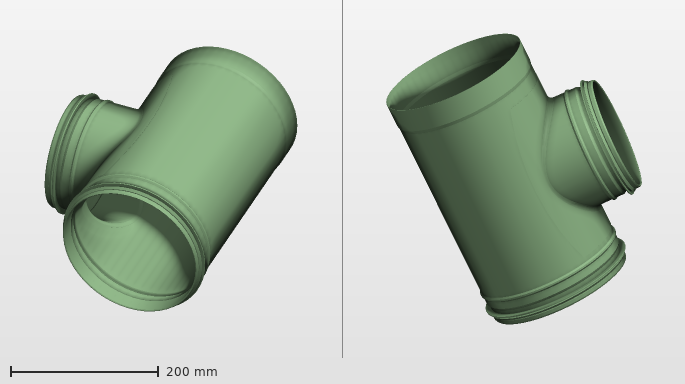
import cadquery as cq


WALL = 0.5

MAIN_RADIUS = 199.0 / 2
MAIN_NECK_RADIUS = 194.0 / 2
MAIN_SEAT_RADIUS = 195.5 / 2
SPIGOT_END_Y = -167.0
SOCKET_END_Y = 173.5
SOCKET_RADIUS = 201.2 / 2
SOCKET_DEPTH = 33.0
SOCKET_TAPER = 4.8

OPENING_HALF_LENGTH = 92.0
OPENING_HALF_HEIGHT = 80.7

BRANCH_RADIUS = 159.0 / 2
BRANCH_NECK_RADIUS = 154.2 / 2
BRANCH_SEAT_RADIUS = 155.3 / 2
BRANCH_LENGTH = 163.8
SADDLE_RADIUS = MAIN_RADIUS + WALL
SADDLE_HALF_LENGTH = 117.5
SADDLE_CORNER_X = -59.0
SADDLE_MIDDLE_X = -41.2
SADDLE_FILLET = 6.8
SELECTION_MARGIN = 3.5

END_BEVEL_LENGTH = 2.0
END_BEVEL_DEPTH = 1.0
BORE_BEVEL = 1.0
RIM_END = 6.5
SEAT_START = 8.0
SEAT_END = 15.5
NECK_END = 21.5
STEP_END = 25.2
BEAD_START = 35.8
BEAD_TOP_START = 38.0
BEAD_TOP_END = 40.5
BEAD_END = 43.0
BEAD_HEIGHT = 2.0

SLANTED_LIP_TIP = 11.0
SLANTED_LIP_BACK = 11.5
UPRIGHT_LIP_START = 14.3
MAIN_SLANTED_LIP_RADIUS = 204.3 / 2
MAIN_UPRIGHT_LIP_RADIUS = 209.5 / 2
BRANCH_SLANTED_LIP_RADIUS = 164.5 / 2
BRANCH_UPRIGHT_LIP_RADIUS = 169.5 / 2


def revolve_along_y(points):
    """Turn a closed (radius, distance) outline around the Y axis."""
    return cq.Workplane("XY").polyline(points).close().revolve(360, (0, 0, 0), (0, 1, 0))


def spigot_tube(radius, seat_radius, neck_radius, outer_points_beyond):
    """Thin tube from its open end at Y = 0: solid rolled rim, seal seat, neck, bead and what follows."""
    bore_radius = neck_radius - WALL
    rim = [
        (bore_radius, BORE_BEVEL),
        (bore_radius + BORE_BEVEL, 0),
        (radius - END_BEVEL_DEPTH, 0),
        (radius, END_BEVEL_LENGTH),
        (radius, RIM_END),
        (seat_radius, SEAT_START),
        (seat_radius, SEAT_END),
        (neck_radius, SEAT_END),
    ]
    sheet = [
        (neck_radius, NECK_END),
        (radius, STEP_END),
        (radius, BEAD_START),
        (radius + BEAD_HEIGHT, BEAD_TOP_START),
        (radius + BEAD_HEIGHT, BEAD_TOP_END),
        (radius, BEAD_END),
    ] + outer_points_beyond
    sheet_inside = [(outer_radius - WALL, distance) for outer_radius, distance in reversed(sheet)]
    return revolve_along_y(rim + sheet + sheet_inside)


def place_on_main(body):
    """Move a body from the Y = 0 end to the spigot end of the main pipe."""
    return body.translate((0, SPIGOT_END_Y, 0))


def place_on_branch(body):
    """Turn a body to run along +X from the open end of the branch."""
    return body.rotate((0, 0, 0), (0, 0, 1), -90).translate((-BRANCH_LENGTH, 0, 0))


def x_cylinder(radius, length):
    """Solid cylinder from the origin along -X."""
    return cq.Workplane("YZ").circle(radius).extrude(-length)


def y_cylinder(radius):
    """Solid cylinder around the main axis, as long as the main pipe."""
    spigot_end = cq.Workplane("XZ", origin=(0, SPIGOT_END_Y, 0))
    return spigot_end.circle(radius).extrude(SPIGOT_END_Y - SOCKET_END_Y)


def make_main_pipe():
    length = SOCKET_END_Y - SPIGOT_END_Y
    socket_start = length - SOCKET_DEPTH
    socket_points = [
        (MAIN_RADIUS, socket_start - SOCKET_TAPER),
        (SOCKET_RADIUS, socket_start),
        (SOCKET_RADIUS, length),
    ]
    tube = spigot_tube(MAIN_RADIUS, MAIN_SEAT_RADIUS, MAIN_NECK_RADIUS, socket_points)
    opening = (
        cq.Workplane("YZ")
        .ellipse(OPENING_HALF_LENGTH, OPENING_HALF_HEIGHT)
        .extrude(-BRANCH_LENGTH)
    )
    return place_on_main(tube).cut(opening)


def filleted_tee(main_radius, branch_radius, branch_length, fillet):
    """Solid main and branch cylinders with a fillet where they meet."""
    tee = y_cylinder(main_radius).union(x_cylinder(branch_radius, branch_length))
    reach = branch_radius + SELECTION_MARGIN
    meeting_edge = cq.selectors.BoxSelector(
        (-main_radius - SELECTION_MARGIN, -reach, -reach),
        (-SELECTION_MARGIN, reach, reach),
    )
    return tee.edges(meeting_edge).fillet(fillet)


def make_saddle():
    tube_start = BRANCH_LENGTH - BEAD_END
    outer = filleted_tee(SADDLE_RADIUS, BRANCH_RADIUS, tube_start, SADDLE_FILLET)
    inner = filleted_tee(MAIN_RADIUS, BRANCH_RADIUS - WALL, tube_start, SADDLE_FILLET + WALL)
    outline = (
        cq.Workplane("XY", origin=(0, 0, -BRANCH_LENGTH))
        .moveTo(-BRANCH_LENGTH, -SADDLE_HALF_LENGTH)
        .lineTo(SADDLE_CORNER_X, -SADDLE_HALF_LENGTH)
        .threePointArc((SADDLE_MIDDLE_X, 0), (SADDLE_CORNER_X, SADDLE_HALF_LENGTH))
        .lineTo(-BRANCH_LENGTH, SADDLE_HALF_LENGTH)
        .close()
        .extrude(2 * BRANCH_LENGTH)
    )
    spigot = place_on_branch(spigot_tube(BRANCH_RADIUS, BRANCH_SEAT_RADIUS, BRANCH_NECK_RADIUS, []))
    return outer.cut(inner).intersect(outline).union(spigot)


def make_seal(radius, seat_radius, slanted_lip_radius, upright_lip_radius):
    """Rubber ring that sits on the seat behind the rim, with a slanted lip and an upright lip."""
    return revolve_along_y([
        (seat_radius, SEAT_START),
        (radius, SEAT_START),
        (slanted_lip_radius, SLANTED_LIP_TIP),
        (radius, SLANTED_LIP_BACK),
        (radius, UPRIGHT_LIP_START),
        (upright_lip_radius, UPRIGHT_LIP_START),
        (upright_lip_radius, SEAT_END),
        (seat_radius, SEAT_END),
    ])


main_pipe = make_main_pipe()
saddle = make_saddle()
main_seal = place_on_main(
    make_seal(MAIN_RADIUS, MAIN_SEAT_RADIUS, MAIN_SLANTED_LIP_RADIUS, MAIN_UPRIGHT_LIP_RADIUS)
)
branch_seal = place_on_branch(
    make_seal(BRANCH_RADIUS, BRANCH_SEAT_RADIUS, BRANCH_SLANTED_LIP_RADIUS, BRANCH_UPRIGHT_LIP_RADIUS)
)

result = cq.Compound.makeCompound([
    main_pipe.solids().val(),
    saddle.solids().val(),
    main_seal.solids().val(),
    branch_seal.solids().val(),
])